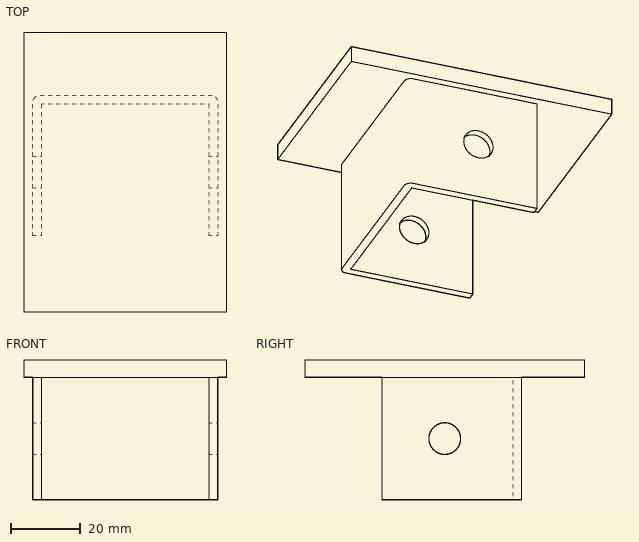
import cadquery as cq

plate_width = 58.0
plate_length = 80.0
plate_thickness = 5.0

bracket_width = 53.0
bracket_height = 35.0
bracket_front_y = -18.0
bracket_back_y = 22.0
wall_thickness = 2.5
outer_bend_radius = 2.0

hole_diameter = 9.0
hole_y = 0.0
hole_z = bracket_height / 2


def make_plate():
    return (
        cq.Workplane("XY")
        .workplane(offset=bracket_height)
        .rect(plate_width, plate_length)
        .extrude(plate_thickness)
    )


def make_bracket():
    bracket_length = bracket_back_y - bracket_front_y
    inner_width = bracket_width - 2 * wall_thickness
    inner_length = bracket_length - wall_thickness
    outer = (
        cq.Workplane("XY")
        .center(0, bracket_front_y + bracket_length / 2)
        .rect(bracket_width, bracket_length)
        .extrude(bracket_height)
        .edges("|Z and >Y")
        .fillet(outer_bend_radius)
    )
    channel = (
        cq.Workplane("XY")
        .center(0, bracket_front_y + inner_length / 2)
        .rect(inner_width, inner_length)
        .extrude(bracket_height)
    )
    return outer.cut(channel)


def make_cross_hole():
    return (
        cq.Workplane("YZ")
        .center(hole_y, hole_z)
        .circle(hole_diameter / 2)
        .extrude(bracket_width / 2, both=True)
    )


result = make_plate().union(make_bracket()).cut(make_cross_hole())